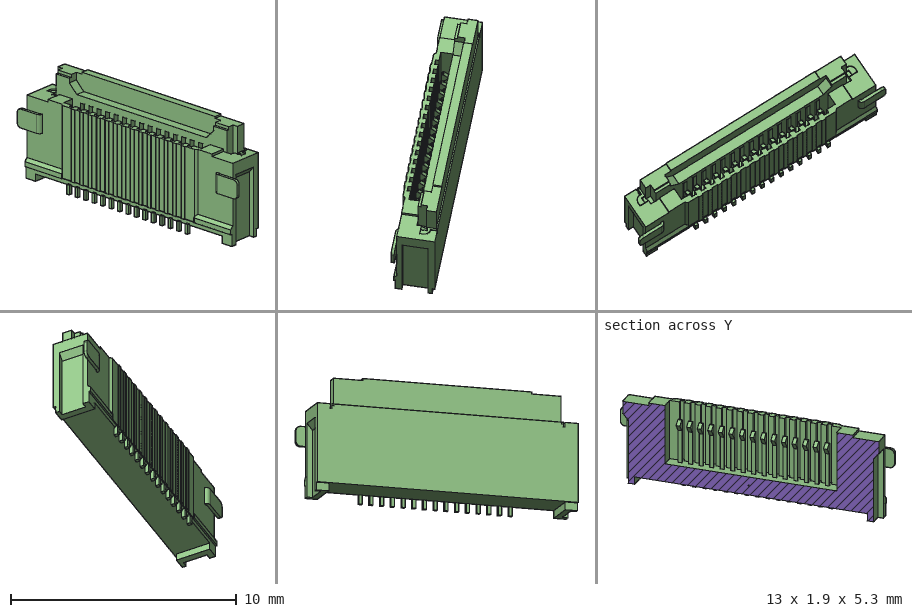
import cadquery as cq
import math


HOUSING_WIDTH = 12.17
SHOULDER_Z = 4.02
FLOOR_Z = 0.4
FOOT_Z = 0.05
FOOT_WIDTH = 0.57
FOOT_BACK_DEPTH = 0.12
PANEL_DEPTH = 1.72
BASE_DEPTH = 1.78
WALL_DEPTH = 1.82
RIB_DEPTH = 1.86
STRIP_TOP_Z = 0.64

WALL_TOP_Z = 4.13
RAISED_WIDTH = 9.7
WALL_WIDTH = 7.8
WALL_RAMP = 0.12
LEDGE_EDGE_Z = 0.87
LEDGE_TOP_Z = 1.03
RIB_WIDTH = 0.22

TONGUE_BACK_DEPTH = 0.06
TONGUE_STEP_DEPTH = 0.52
TONGUE_FRONT_DEPTH = 0.94
TONGUE_WIDTH = 10.61
TONGUE_FRONT_WIDTH = 10.09
TONGUE_Z = 5.21
CREST_Z = 5.3
CREST_WIDTH = 7.88
CREST_FRONT_DEPTH = 0.47
POCKET_WIDTH = 8.53
POCKET_FLOOR_WIDTH = 7.65
POCKET_FLOOR_Z = 4.41
POCKET_CORNER_Z = 4.85
NOTCH_Z = 5.07
NOTCH_DEPTH = 0.8

CONTACT_COUNT = 15
CONTACT_ROW_WIDTH = 7.0
CONTACT_PITCH = CONTACT_ROW_WIDTH / (CONTACT_COUNT - 1)
CONTACT_WIDTH = 0.18
CONTACT_TOP_Z = 3.38
CONTACT_BEVEL = 0.04
NOSE_BACK_DEPTH = 1.05
STEM_BACK_DEPTH = 1.29
STEM_FRONT_DEPTH = 1.36
NOSE_TIP_Z = 3.18
NOSE_ROOT_Z = 2.86
CAVITY_FLOOR_Z = 1.3
CAVITY_WIDTH = 8.14
CAVITY_FRONT_DEPTH = 1.52
SLOT_WIDTH = 0.23
SLOT_FRONT_DEPTH = 1.68
TONGUE_SLOT_DEPTH = 0.26
TONGUE_SLOT_TOP_Z = 4.05
PIN_WIDTH = 0.15
PIN_BACK_DEPTH = 1.73
PIN_FRONT_DEPTH = 1.9
PIN_TOP_Z = 0.47

TAB_SPAN = 13.0
TAB_BOTTOM_Z = 2.43
TAB_TOP_Z = 3.34
TAB_THICKNESS = 0.14
TAB_BEND_X = 5.35
TAB_ROOT_X = 5.15
TAB_CORNER_RADIUS = 0.21
TAB_EMBED_DEPTH = 1.61

CHANNEL_BACK_DEPTH = 0.31
CHANNEL_FRONT_DEPTH = 1.48
CHANNEL_TOP_Z = 3.42
CHANNEL_WALL_TOP_Z = 3.12
CHANNEL_CUT = 0.26
RECESS_CUT = 0.08
CORNER_CUT = 0.39
RECESS_OUTER_X = 5.75
RECESS_BACK_DEPTH = 0.31
RECESS_FRONT_DEPTH = 0.74
SLIT_OUTER_X = 5.47
SLIT_INNER_X = 5.4
SLIT_FRONT_DEPTH = 0.2
SLIT_CUT = 0.21
CLEARANCE_BACK_DEPTH = 0.04
RAMP_BACK_DEPTH = 0.45

OVERLAP = 0.06


def block(width, back_depth, front_depth, bottom, top, center_x=0):
    """Box given by its width about center_x, its depth range and its height range."""
    size = (width, front_depth - back_depth, top - bottom)
    corner = (center_x - width / 2, -front_depth, bottom)
    return cq.Workplane("XY").box(*size, centered=False).translate(corner)


def along_x(points, width, center_x=0):
    """Prism along X whose outline is a list of (depth, z) points."""
    outline = [(-depth, z) for depth, z in points]
    prism = cq.Workplane("YZ").polyline(outline).close().extrude(width)
    return prism.translate((center_x - width / 2, 0, 0))


def along_z(points, bottom, top):
    """Prism along Z whose outline is a list of (x, depth) points."""
    outline = [(x, -depth) for x, depth in points]
    prism = cq.Workplane("XY").polyline(outline).close().extrude(top - bottom)
    return prism.translate((0, 0, bottom))


def both_ends(solid):
    """The solid together with its mirror image at the other end."""
    return solid.union(solid.mirror("YZ"))


contact_xs = [i * CONTACT_PITCH - CONTACT_ROW_WIDTH / 2 for i in range(CONTACT_COUNT)]
rib_xs = [x + CONTACT_PITCH / 2 for x in contact_xs[:-1]]


def make_housing():
    housing = block(HOUSING_WIDTH, 0, PANEL_DEPTH, FLOOR_Z, SHOULDER_Z)
    foot_x = (HOUSING_WIDTH - FOOT_WIDTH) / 2
    foot = block(FOOT_WIDTH, FOOT_BACK_DEPTH, BASE_DEPTH, FOOT_Z, FLOOR_Z + OVERLAP, foot_x)
    strip = block(HOUSING_WIDTH, PANEL_DEPTH - OVERLAP, BASE_DEPTH, FLOOR_Z, STRIP_TOP_Z)
    ledge = along_x(
        [
            (PANEL_DEPTH - OVERLAP, STRIP_TOP_Z),
            (RIB_DEPTH, STRIP_TOP_Z),
            (RIB_DEPTH, LEDGE_EDGE_Z),
            (PANEL_DEPTH, LEDGE_TOP_Z),
            (PANEL_DEPTH - OVERLAP, LEDGE_TOP_Z),
        ],
        HOUSING_WIDTH,
    )
    ledge = ledge.cut(block(WALL_WIDTH, WALL_DEPTH, RIB_DEPTH, STRIP_TOP_Z, LEDGE_TOP_Z))
    raised_top = block(
        RAISED_WIDTH, TONGUE_FRONT_DEPTH, PANEL_DEPTH, SHOULDER_Z - OVERLAP, WALL_TOP_Z
    )
    return housing.union(both_ends(foot)).union(strip).union(ledge).union(raised_top)


def make_ribbed_wall():
    half_crest = WALL_WIDTH / 2
    half_base = half_crest + WALL_RAMP
    wall_outline = [
        (-half_base, PANEL_DEPTH),
        (half_base, PANEL_DEPTH),
        (half_crest, WALL_DEPTH),
        (-half_crest, WALL_DEPTH),
    ]
    wall = along_z(wall_outline, STRIP_TOP_Z, WALL_TOP_Z)
    for x in rib_xs:
        rib = block(RIB_WIDTH, WALL_DEPTH - OVERLAP, RIB_DEPTH, STRIP_TOP_Z, WALL_TOP_Z, x)
        wall = wall.union(rib)
    return wall


def make_tongue():
    foot_z = SHOULDER_Z - OVERLAP
    tongue = block(TONGUE_WIDTH, TONGUE_BACK_DEPTH, TONGUE_STEP_DEPTH, foot_z, TONGUE_Z)
    front = block(TONGUE_FRONT_WIDTH, TONGUE_STEP_DEPTH, TONGUE_FRONT_DEPTH, foot_z, TONGUE_Z)
    crest = block(CREST_WIDTH, TONGUE_BACK_DEPTH, CREST_FRONT_DEPTH, TONGUE_Z, CREST_Z)
    pocket_half = [
        (POCKET_FLOOR_WIDTH / 2, POCKET_FLOOR_Z),
        (POCKET_WIDTH / 2, POCKET_CORNER_Z),
        (POCKET_WIDTH / 2, CREST_Z),
    ]
    pocket_outline = pocket_half + [(-x, z) for x, z in reversed(pocket_half)]
    pocket = (
        cq.Workplane("XZ", origin=(0, -CREST_FRONT_DEPTH, 0))
        .polyline(pocket_outline)
        .close()
        .extrude(TONGUE_FRONT_DEPTH - CREST_FRONT_DEPTH)
    )
    notch = block(TONGUE_FRONT_WIDTH, NOTCH_DEPTH, TONGUE_FRONT_DEPTH, NOTCH_Z, TONGUE_Z)
    return tongue.union(front).union(crest).cut(pocket).cut(notch)


def make_contact_cavity():
    """Trench behind the ribbed wall, with a slot before and behind every contact."""
    cavity = block(CAVITY_WIDTH, TONGUE_FRONT_DEPTH, CAVITY_FRONT_DEPTH, CAVITY_FLOOR_Z, WALL_TOP_Z)
    for x in contact_xs:
        wall_slot = block(
            SLOT_WIDTH, CAVITY_FRONT_DEPTH, SLOT_FRONT_DEPTH, CAVITY_FLOOR_Z, WALL_TOP_Z, x
        )
        tongue_slot = block(
            SLOT_WIDTH, TONGUE_FRONT_DEPTH - TONGUE_SLOT_DEPTH, TONGUE_FRONT_DEPTH,
            CAVITY_FLOOR_Z, TONGUE_SLOT_TOP_Z, x,
        )
        cavity = cavity.union(wall_slot).union(tongue_slot)
    return cavity


def make_contact(x):
    """Upright contact with a sloping nose, and its solder pin at the foot of the front wall."""
    contact = along_x(
        [
            (STEM_FRONT_DEPTH, CAVITY_FLOOR_Z - OVERLAP),
            (STEM_FRONT_DEPTH, CONTACT_TOP_Z - CONTACT_BEVEL),
            (STEM_FRONT_DEPTH - CONTACT_BEVEL, CONTACT_TOP_Z),
            (STEM_BACK_DEPTH, CONTACT_TOP_Z),
            (NOSE_BACK_DEPTH, NOSE_TIP_Z),
            (STEM_BACK_DEPTH, NOSE_ROOT_Z),
            (STEM_BACK_DEPTH, CAVITY_FLOOR_Z - OVERLAP),
        ],
        CONTACT_WIDTH,
        x,
    )
    pin = block(PIN_WIDTH, PIN_BACK_DEPTH, PIN_FRONT_DEPTH, 0, PIN_TOP_Z, x)
    return contact, pin


def make_tab():
    """Solder tab that bends out of the end panel and reaches past the housing."""
    front = -PIN_FRONT_DEPTH
    back = front + TAB_THICKNESS
    bend = TAB_BEND_X - TAB_ROOT_X
    arc_mid = (
        TAB_BEND_X - bend * math.sqrt(0.5),
        front + bend * (1 - math.sqrt(0.5)),
    )
    tab = (
        cq.Workplane("XY", origin=(0, 0, TAB_BOTTOM_Z))
        .moveTo(TAB_SPAN / 2, back)
        .lineTo(TAB_SPAN / 2, front)
        .lineTo(TAB_BEND_X, front)
        .threePointArc(arc_mid, (TAB_ROOT_X, front + bend))
        .lineTo(TAB_ROOT_X, -TAB_EMBED_DEPTH)
        .lineTo(TAB_ROOT_X + TAB_THICKNESS, -TAB_EMBED_DEPTH)
        .lineTo(TAB_ROOT_X + TAB_THICKNESS, back)
        .close()
        .extrude(TAB_TOP_Z - TAB_BOTTOM_Z)
    )
    return tab.edges("|Y and >X").fillet(TAB_CORNER_RADIUS)


def make_end_channel():
    """Open-bottomed channel in the end face, closed at the top by a slope."""
    outer_x = HOUSING_WIDTH / 2
    inner_x = outer_x - CHANNEL_CUT
    return (
        cq.Workplane("XZ", origin=(0, -CHANNEL_BACK_DEPTH, 0))
        .polyline(
            [(outer_x, 0), (outer_x, CHANNEL_TOP_Z), (inner_x, CHANNEL_WALL_TOP_Z), (inner_x, 0)]
        )
        .close()
        .extrude(CHANNEL_FRONT_DEPTH - CHANNEL_BACK_DEPTH)
    )


def make_top_recess():
    """Recess in the shoulder beside the tongue, with a slit open to the back and a sunken ramp."""
    tongue_x = TONGUE_WIDTH / 2
    floor_z = SHOULDER_Z - RECESS_CUT
    radius = RECESS_OUTER_X - SLIT_OUTER_X
    arc_mid = (
        SLIT_OUTER_X + radius * math.sqrt(0.5),
        -RECESS_BACK_DEPTH - radius * (1 - math.sqrt(0.5)),
    )
    recess = (
        cq.Workplane("XY", origin=(0, 0, floor_z))
        .moveTo(tongue_x, -RECESS_FRONT_DEPTH)
        .lineTo(RECESS_OUTER_X, -RECESS_FRONT_DEPTH)
        .lineTo(RECESS_OUTER_X, -RECESS_BACK_DEPTH - radius)
        .threePointArc(arc_mid, (SLIT_OUTER_X, -RECESS_BACK_DEPTH))
        .lineTo(tongue_x, -RECESS_BACK_DEPTH)
        .close()
        .extrude(RECESS_CUT)
    )
    slit_floor_z = SHOULDER_Z - SLIT_CUT
    slit = along_x(
        [
            (0, SHOULDER_Z),
            (0, slit_floor_z),
            (SLIT_FRONT_DEPTH, slit_floor_z),
            (RECESS_BACK_DEPTH, floor_z),
            (RECESS_BACK_DEPTH, SHOULDER_Z),
        ],
        SLIT_OUTER_X - SLIT_INNER_X,
        (SLIT_OUTER_X + SLIT_INNER_X) / 2,
    )
    clearance = block(
        SLIT_INNER_X - tongue_x, CLEARANCE_BACK_DEPTH, RECESS_BACK_DEPTH,
        floor_z, SHOULDER_Z, (SLIT_INNER_X + tongue_x) / 2,
    )
    ramp = along_x(
        [(RAMP_BACK_DEPTH, floor_z), (RAMP_BACK_DEPTH, slit_floor_z), (RECESS_FRONT_DEPTH, floor_z)],
        SLIT_OUTER_X - tongue_x,
        (SLIT_OUTER_X + tongue_x) / 2,
    )
    front_x = TONGUE_FRONT_WIDTH / 2
    corner = block(
        tongue_x - front_x, TONGUE_STEP_DEPTH, TONGUE_FRONT_DEPTH,
        SHOULDER_Z - CORNER_CUT, SHOULDER_Z, (tongue_x + front_x) / 2,
    )
    return recess.union(slit).union(clearance).union(ramp).union(corner)


result = make_housing().union(make_ribbed_wall())
result = result.cut(both_ends(make_top_recess()))
result = result.union(make_tongue())
result = result.cut(make_contact_cavity())
result = result.cut(both_ends(make_end_channel()))
for contact_x in contact_xs:
    for piece in make_contact(contact_x):
        result = result.union(piece)
result = result.union(both_ends(make_tab()))